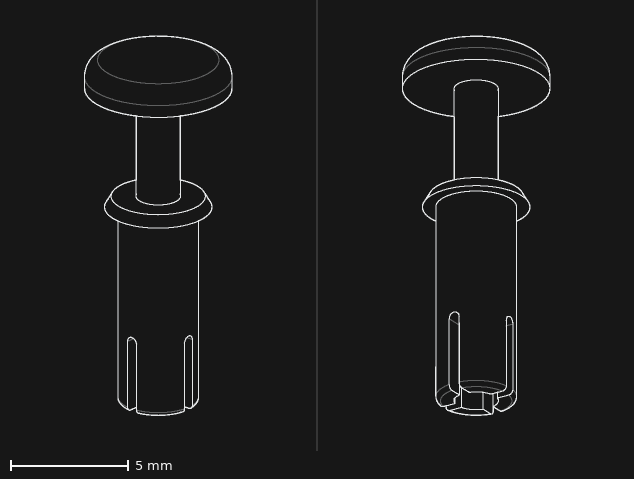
import cadquery as cq
import math


sleeve_diameter = 3.45
bore_diameter = 1.9
barrel_length = 9.0
flange_thickness = 0.5
flange_top_diameter = 4.02
flange_half_angle = math.radians(30)
tip_fillet = 0.2

slot_width = 0.5
slot_height = 3.5

shank_diameter = 1.89
exposed_shank = 5.0
head_diameter = 6.3
head_band_height = 0.55
head_shoulder_height = 0.77
head_shoulder_radius = 0.81
dome_diameter = 5.18
dome_height = 0.38

flange_top = barrel_length + flange_thickness
flange_top_radius = flange_top_diameter / 2
flange_bottom_radius = flange_top_radius + flange_thickness * math.tan(flange_half_angle)
head_bottom = flange_top + exposed_shank
band_top = head_bottom + head_band_height
shoulder_top = band_top + head_shoulder_height
head_top = shoulder_top + dome_height
shank_bottom = slot_height


def make_slot_cutter():
    """Round-topped slot running through the sleeve tip along Y."""
    half_width = slot_width / 2
    arch_spring = slot_height - half_width
    return (
        cq.Workplane("XZ")
        .moveTo(-half_width, 0)
        .lineTo(-half_width, arch_spring)
        .threePointArc((0, slot_height), (half_width, arch_spring))
        .lineTo(half_width, 0)
        .close()
        .extrude(sleeve_diameter, both=True)
    )


def make_sleeve():
    """Flanged tube with a rounded, four-way split tip."""
    barrel = cq.Workplane("XY").circle(sleeve_diameter / 2).extrude(barrel_length)
    barrel = barrel.faces("<Z").edges().fillet(tip_fillet)
    flange = (
        cq.Workplane("XZ")
        .moveTo(0, barrel_length)
        .lineTo(flange_bottom_radius, barrel_length)
        .lineTo(flange_top_radius, flange_top)
        .lineTo(0, flange_top)
        .close()
        .revolve(360, (0, 0, 0), (0, 1, 0))
    )
    bore = cq.Workplane("XY").circle(bore_diameter / 2).extrude(flange_top)
    body = barrel.union(flange).cut(bore)
    for angle in (0, 90):
        body = body.cut(make_slot_cutter().rotate((0, 0, 0), (0, 0, 1), angle))
    return body


def make_pin():
    """Domed head with a rounded shoulder on a plain shank that ends above the slots."""
    head_radius = head_diameter / 2
    dome_radius = dome_diameter / 2
    shank_radius = shank_diameter / 2

    shoulder_inset = head_radius - dome_radius
    shoulder_chord = math.hypot(shoulder_inset, head_shoulder_height)
    shoulder_bulge = head_shoulder_radius - math.sqrt(head_shoulder_radius**2 - (shoulder_chord / 2) ** 2)
    shoulder_middle = (
        head_radius - shoulder_inset / 2 + shoulder_bulge * head_shoulder_height / shoulder_chord,
        band_top + head_shoulder_height / 2 + shoulder_bulge * shoulder_inset / shoulder_chord,
    )

    sphere_radius = (dome_radius**2 + dome_height**2) / (2 * dome_height)
    dome_middle_radius = dome_radius / 2
    sphere_center = head_top - sphere_radius
    dome_middle = (
        dome_middle_radius,
        sphere_center + math.sqrt(sphere_radius**2 - dome_middle_radius**2),
    )

    return (
        cq.Workplane("XZ")
        .moveTo(0, shank_bottom)
        .lineTo(shank_radius, shank_bottom)
        .lineTo(shank_radius, head_bottom)
        .lineTo(head_radius, head_bottom)
        .lineTo(head_radius, band_top)
        .threePointArc(shoulder_middle, (dome_radius, shoulder_top))
        .threePointArc(dome_middle, (0, head_top))
        .close()
        .revolve(360, (0, 0, 0), (0, 1, 0))
    )


sleeve = make_sleeve()
pin = make_pin()
result = cq.Compound.makeCompound([sleeve.solids().val(), pin.val()])